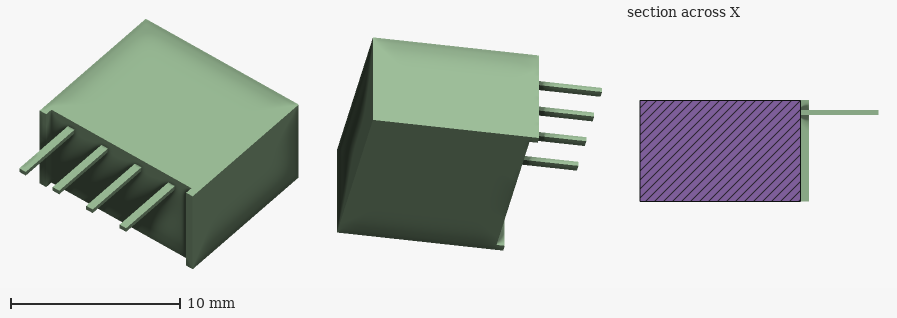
import cadquery as cq

case_width = 11.6
case_depth = 10.0
case_height = 6.0
lip_width = 0.5
recess_depth = 0.5

total_depth = 14.1
pin_count = 4
pin_pitch = 2.54
pin_width = 0.5
pin_thickness = 0.3
pin_drop = 0.73

lip_front = total_depth - case_depth
recess_face = lip_front + recess_depth
pin_height = case_height - pin_drop


def block(width, depth, height, x, y, z):
    """Box centred on x, starting at y and z."""
    return cq.Workplane("XY").box(width, depth, height, centered=(True, False, False)).translate((x, y, z))


def make_case():
    body = block(case_width, case_depth, case_height, 0, lip_front, 0)
    recess_width = case_width - 2 * lip_width
    return body.cut(block(recess_width, recess_depth, case_height, 0, lip_front, 0))


def make_pin(x):
    return block(pin_width, recess_face, pin_thickness, x, 0, pin_height - pin_thickness / 2)


result = make_case()
for index in range(pin_count):
    pin_x = (index - (pin_count - 1) / 2) * pin_pitch
    result = result.union(make_pin(pin_x))